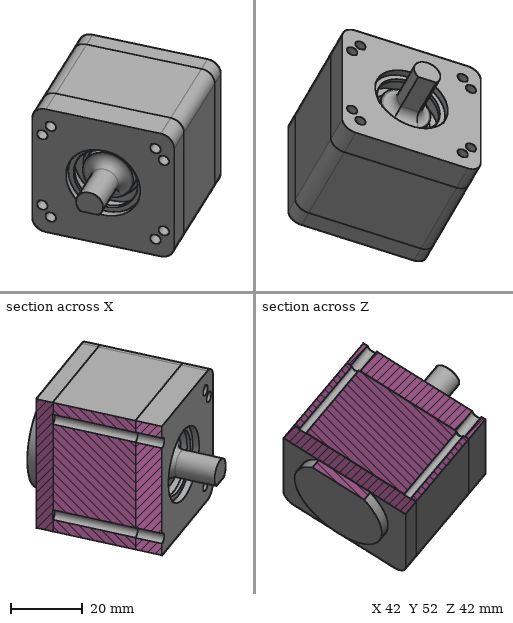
import cadquery as cq
import math


overall_length = 52.0
body_side = 42.0
corner_radius = 4.0

flange_thickness = 8.0
stator_length = 25.0
rear_cap_thickness = 5.0
shaft_projection = 11.0
boss_thickness = overall_length - shaft_projection - flange_thickness - stator_length - rear_cap_thickness

boss_diameter = 30.0

recess_diameter = 22.0
recess_depth = 2.0
lip_bore_diameter = 19.0
lip_end_depth = 3.0

chamber_diameter = 23.0

collar_diameter = 17.0
collar_height = 1.0

shaft_radius = 4.0
shaft_flat_offset = 2.95
flare_radius = 3.0
hub_diameter = 15.0
hub_front_depth = 4.0

mount_spacing = 31.0
flange_hole_diameter = 3.1
mount_pilot_diameter = 3.0
tie_spacing_x = 36.0
tie_spacing_z = 24.0
tie_pilot_diameter = 2.2

stator_front = flange_thickness
rear_cap_front = stator_front + stator_length
boss_front = rear_cap_front + rear_cap_thickness


def plane_at(y):
    """Sketch plane at depth y whose extrusions run toward +Y."""
    return cq.Workplane(cq.Plane(origin=(0, y, 0), xDir=(1, 0, 0), normal=(0, 1, 0)))


def disc(diameter, start, end):
    """Round disc on the shaft axis between two depths."""
    return plane_at(start).circle(diameter / 2).extrude(end - start)


def square_block(start, length):
    """Square block with rounded corners along the axis."""
    block = plane_at(start).rect(body_side, body_side).extrude(length)
    return block.edges("|Y").fillet(corner_radius)


def hole_set(spacing_x, spacing_z, diameter, start, length):
    """Four round cutters at the corners of a rectangle."""
    corners = plane_at(start).rect(spacing_x, spacing_z, forConstruction=True).vertices()
    return corners.circle(diameter / 2).extrude(length)


def make_flange():
    flange = square_block(0, flange_thickness)
    flange = flange.cut(disc(recess_diameter, 0, recess_depth))
    flange = flange.cut(disc(lip_bore_diameter, recess_depth, lip_end_depth))
    flange = flange.cut(disc(chamber_diameter, lip_end_depth, flange_thickness))
    flange = flange.cut(hole_set(mount_spacing, mount_spacing, flange_hole_diameter, 0, flange_thickness))
    return flange.cut(hole_set(tie_spacing_x, tie_spacing_z, flange_hole_diameter, 0, flange_thickness))


def make_stator():
    stator = square_block(stator_front, stator_length)
    stator = stator.cut(hole_set(mount_spacing, mount_spacing, mount_pilot_diameter, stator_front, stator_length))
    return stator.cut(hole_set(tie_spacing_x, tie_spacing_z, tie_pilot_diameter, stator_front, stator_length))


def make_collar():
    collar_front = stator_front - collar_height
    collar = disc(collar_diameter, collar_front, stator_front)
    return collar.cut(disc(hub_diameter, collar_front, stator_front))


def make_shaft():
    tip = -shaft_projection
    flare_start = hub_front_depth - flare_radius
    diagonal = flare_radius * math.sqrt(0.5)

    def flared_outline(edge):
        """Open outline in the YZ plane, edge below the axis, widening by a quarter round at the foot."""
        return (
            cq.Workplane("YZ")
            .moveTo(tip, 0)
            .lineTo(tip, -edge)
            .lineTo(flare_start, -edge)
            .threePointArc(
                (flare_start + diagonal, -edge - flare_radius + diagonal),
                (hub_front_depth, -edge - flare_radius),
            )
        )

    round_outline = flared_outline(shaft_radius).lineTo(hub_front_depth, 0).close()
    round_shaft = round_outline.revolve(360, (0, 0, 0), (1, 0, 0))

    top = hub_diameter / 2
    flat_limit = (
        flared_outline(shaft_flat_offset)
        .lineTo(hub_front_depth, top)
        .lineTo(tip, top)
        .close()
        .extrude(top, both=True)
    )

    hub = disc(hub_diameter, hub_front_depth, stator_front)
    return round_shaft.intersect(flat_limit).union(hub)


flange = make_flange()
stator = make_stator()
rear_cap = square_block(rear_cap_front, rear_cap_thickness)
rear_boss = disc(boss_diameter, boss_front, boss_front + boss_thickness)
collar = make_collar()
shaft = make_shaft()

result = cq.Compound.makeCompound(
    [flange.val(), stator.val(), rear_cap.val(), rear_boss.val(), collar.val(), shaft.val()]
)